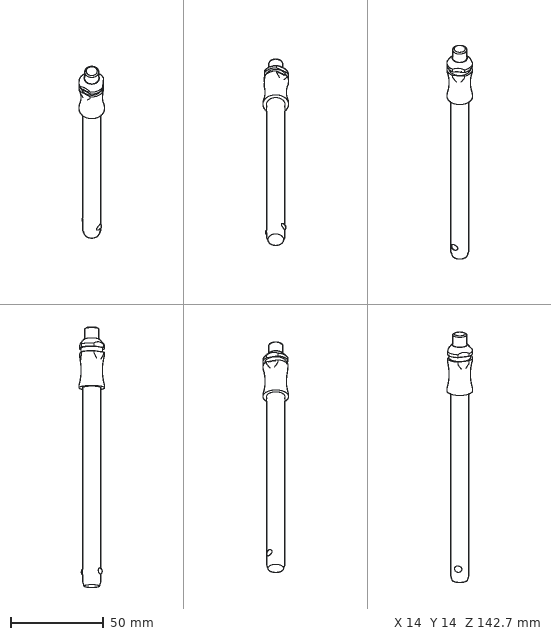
import cadquery as cq
import math

length = 142.7
shank_radius = 5.0
tip_radius = 4.3
tip_height = 2.5

handle_radius = 7.0
handle_bottom = 109.6
lower_rim_top = 110.9
waist_z = 119.5
waist_radius = 5.9
upper_rim_bottom = 127.6
grip_top = 128.9
neck_radius = 5.9
collar_bottom = 131.4
cone_bottom = 133.1
cone_top = 135.7
cone_top_radius = 4.9
ledge_z = 136.4
ledge_radius = 4.1

button_radius = 3.9
button_chamfer = 0.9
button_chamfer_height = 0.5

flat_width = 6.5
flat_distance = math.sqrt(handle_radius**2 - (flat_width / 2) ** 2)
flat_count = 3
first_flat_angle = 30.0

ball_radius = 2.1
ball_reach = 6.0
ball_z = 8.0


def flare_mid_point(end_z):
    """Middle of the arc that leaves the waist vertically and reaches the rim at end_z."""
    rise = end_z - waist_z
    flare = handle_radius - waist_radius
    arc_radius = (rise**2 + flare**2) / (2 * flare)
    half_angle = math.asin(abs(rise) / arc_radius) / 2
    mid_radius = waist_radius + arc_radius * (1 - math.cos(half_angle))
    mid_z = waist_z + math.copysign(arc_radius * math.sin(half_angle), rise)
    return (mid_radius, mid_z)


def turned_body():
    profile = (
        cq.Workplane("XZ")
        .lineTo(tip_radius, 0)
        .lineTo(shank_radius, tip_height)
        .lineTo(shank_radius, handle_bottom)
        .lineTo(handle_radius, handle_bottom)
        .lineTo(handle_radius, lower_rim_top)
        .threePointArc(flare_mid_point(lower_rim_top), (waist_radius, waist_z))
        .threePointArc(flare_mid_point(upper_rim_bottom), (handle_radius, upper_rim_bottom))
        .lineTo(handle_radius, grip_top)
        .lineTo(neck_radius, grip_top)
        .lineTo(neck_radius, collar_bottom)
        .lineTo(handle_radius, collar_bottom)
        .lineTo(handle_radius, cone_bottom)
        .lineTo(cone_top_radius, cone_top)
        .lineTo(ledge_radius, ledge_z)
        .lineTo(button_radius, ledge_z)
        .lineTo(button_radius, length - button_chamfer_height)
        .lineTo(button_radius - button_chamfer, length)
        .lineTo(0, length)
        .close()
    )
    return profile.revolve(360, (0, 0, 0), (0, 1, 0))


def flat_cutter(angle):
    """Block outside one flat, between the waist and the top of the collar cone."""
    return (
        cq.Workplane("XY", origin=(0, 0, waist_z))
        .center(flat_distance, 0)
        .box(handle_radius, 2 * handle_radius, cone_top - waist_z, centered=(False, True, False))
        .rotate((0, 0, 0), (0, 0, 1), angle)
    )


result = turned_body()
for index in range(flat_count):
    result = result.cut(flat_cutter(first_flat_angle + index * 360 / flat_count))

for side in (-1, 1):
    ball_x = side * (ball_reach - ball_radius)
    result = result.union(cq.Workplane("XY").sphere(ball_radius).translate((ball_x, 0, ball_z)))